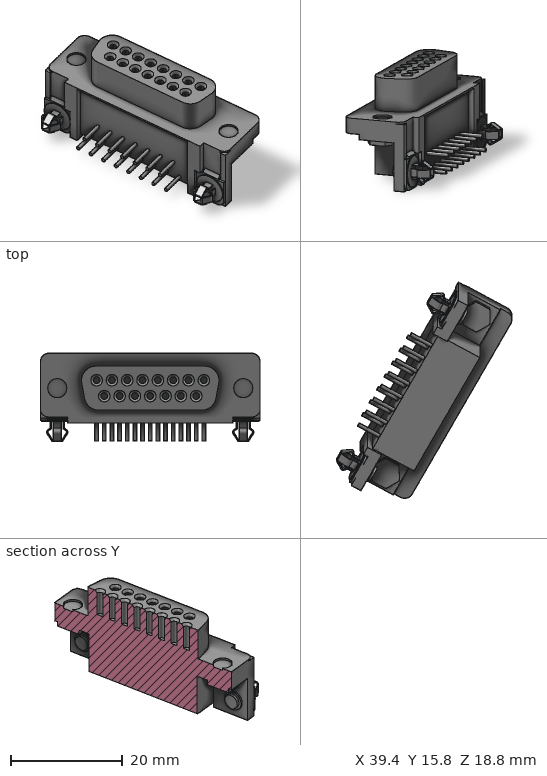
import cadquery as cq
import math


LENGTH = 39.37
DEPTH = 12.55
OVERALL_DEPTH = 15.81
HALF_LENGTH = LENGTH / 2
FRONT_Y = -DEPTH / 2
BACK_Y = DEPTH / 2
FLANGE_THICKNESS = 2.87
EAR_THICKNESS = 3.84
EAR_SETBACK = 3.0
EAR_BACK_Y = BACK_Y - EAR_SETBACK
BACK_CORNER_RADIUS = 1.57
LIP_THICKNESS = 0.35
FRONT_CORNER_RADIUS = 1.4

HEIGHT_BELOW = 12.7
BODY_BOTTOM_Z = -11.75
BODY_HALF_WIDTH = 12.07
BODY_SETBACK = 1.06
BODY_FRONT_Y = FRONT_Y + BODY_SETBACK
LEG_BACK_Y = -3.38
LEG_FRONT_Y = -5.36
RECESS_Y = -5.14
STRIP_WIDTH = 1.08
RIB_INSET = 4.87
RIB_OUTER_X = HALF_LENGTH - RIB_INSET

SHELL_HEIGHT = 6.06
SHELL_HALF_WIDTH = 12.3
SHELL_HALF_DEPTH = 3.93
SHELL_RADIUS = 2.55
SHELL_SIDE_ANGLE = math.radians(10)

PITCH = 2.743
ROW_Y = 1.42
LONG_ROW = 8
SHORT_ROW = 7
SOCKET_RADIUS = 0.6
SOCKET_MOUTH_RADIUS = 1.03
SOCKET_MOUTH_DEPTH = 0.5
SOCKET_DEPTH = 5.0
PIN_RADIUS = 0.345
LONG_ROW_PIN_Z = -10.88
SHORT_ROW_PIN_Z = -8.03
LONG_ROW_TIP_Y = -9.5
SHORT_ROW_TIP_Y = -9.42

MOUNT_X = 16.65
MOUNT_RADIUS = 1.71
MOUNT_DEPTH = 0.4
NUT_ACROSS_CORNERS = 5.62
NUT_THICKNESS = 0.93

CLIP_Z = -9.5
PLATE_FRONT_Y = -5.76
PLATE_TOP_Z = -6.76
PLATE_WIDTH = 5.94
PLATE_CORNER_RADIUS = 1.5
POCKET_WIDTH = 6.1
POCKET_INNER_X = HALF_LENGTH - POCKET_WIDTH
POCKET_TOP_Z = -6.51
TAB_INSET = 1.28
TAB_WIDTH = 3.38
TAB_OUTER_X = HALF_LENGTH - TAB_INSET
TAB_INNER_X = TAB_OUTER_X - TAB_WIDTH
RAMP_TOP_Z = -5.93
DISC_RADIUS = 2.86
DISC_FRONT_Y = -5.97
PRONG_WIDTH = 1.48
PRONG_THICKNESS = 0.26
PRONG_STEM = 1.30
PRONG_ELBOW = 2.09
PRONG_ELBOW_WALL = 0.34
PRONG_BEND_RADIUS = 0.5
PRONG_TIP = 0.96
STEM_END_Y = -7.16
ELBOW_Y = -7.76
TIP_Y = BACK_Y - OVERALL_DEPTH
RIVET_STEPS = ((1.85, -3.03), (1.38, -2.52))


def box(x0, x1, y0, y1, z0, z1):
    """Box between two opposite corners."""
    return cq.Workplane("XY").box(x1 - x0, y1 - y0, z1 - z0, centered=False).translate((x0, y0, z0))


def cylinder_along_y(x, z, radius, y0, y1):
    """Round bar parallel to Y."""
    return cq.Workplane("XZ", origin=(x, y1, z)).circle(radius).extrude(y1 - y0)


def row_positions(count):
    """X positions of an evenly spaced, centred row of contacts."""
    return [(i - (count - 1) / 2) * PITCH for i in range(count)]


def make_flange():
    top = box(-HALF_LENGTH, HALF_LENGTH, RECESS_Y, BACK_Y, -LIP_THICKNESS, 0)
    top = top.edges("|Z and <Y").fillet(FRONT_CORNER_RADIUS)
    top = top.edges("|Z and >Y").fillet(BACK_CORNER_RADIUS)
    lower = box(-HALF_LENGTH, HALF_LENGTH, RECESS_Y, BACK_Y, -FLANGE_THICKNESS, -LIP_THICKNESS)
    lower = lower.edges("|Z and >Y").fillet(BACK_CORNER_RADIUS)
    ears = box(-HALF_LENGTH, HALF_LENGTH, RECESS_Y, EAR_BACK_Y, -EAR_THICKNESS, -LIP_THICKNESS)
    front_lip = box(-RIB_OUTER_X, RIB_OUTER_X, FRONT_Y, RECESS_Y, -LIP_THICKNESS, 0)
    return top.union(lower).union(ears).union(front_lip)


def make_body():
    return box(-BODY_HALF_WIDTH, BODY_HALF_WIDTH, BODY_FRONT_Y, EAR_BACK_Y, BODY_BOTTOM_Z, 0)


def make_shell():
    """D-shaped shell: four equal round corners with the sides closing in towards the front."""
    centre_y = SHELL_HALF_DEPTH - SHELL_RADIUS
    back_x = SHELL_HALF_WIDTH - SHELL_RADIUS
    front_x = back_x - 2 * centre_y * math.tan(SHELL_SIDE_ANGLE)

    def on_corner(x, y, angle):
        return (x + SHELL_RADIUS * math.cos(angle), y + SHELL_RADIUS * math.sin(angle))

    side = -SHELL_SIDE_ANGLE
    back_mid = (math.pi / 2 + side) / 2
    front_mid = (side - math.pi / 2) / 2
    half = (
        cq.Workplane("XY")
        .moveTo(0, SHELL_HALF_DEPTH)
        .lineTo(back_x, SHELL_HALF_DEPTH)
        .threePointArc(on_corner(back_x, centre_y, back_mid), on_corner(back_x, centre_y, side))
        .lineTo(*on_corner(front_x, -centre_y, side))
        .threePointArc(on_corner(front_x, -centre_y, front_mid), (front_x, -SHELL_HALF_DEPTH))
        .lineTo(0, -SHELL_HALF_DEPTH)
    )
    return half.mirrorY().extrude(SHELL_HEIGHT)


def make_socket(x, y):
    """Cutter for one contact hole with a flared mouth."""
    profile = (
        cq.Workplane("XZ")
        .moveTo(0, 0)
        .lineTo(SOCKET_MOUTH_RADIUS, 0)
        .lineTo(SOCKET_RADIUS, -SOCKET_MOUTH_DEPTH)
        .lineTo(SOCKET_RADIUS, -SOCKET_DEPTH)
        .lineTo(0, -SOCKET_DEPTH)
        .close()
    )
    return profile.revolve(360, (0, 0, 0), (0, 1, 0)).translate((x, y, SHELL_HEIGHT))


def make_leg():
    """Leg at the +X end: thin outer strip, shallow recess and a full-depth rib."""
    outer = HALF_LENGTH
    bottom = -HEIGHT_BELOW
    leg = box(BODY_HALF_WIDTH, outer, RECESS_Y, LEG_BACK_Y, bottom, -LIP_THICKNESS)
    strip = box(outer - STRIP_WIDTH, outer, LEG_FRONT_Y, RECESS_Y, bottom, -LIP_THICKNESS)
    rib = box(BODY_HALF_WIDTH, RIB_OUTER_X, FRONT_Y, RECESS_Y, bottom, 0)
    backing = box(POCKET_INNER_X, outer, LEG_FRONT_Y, RECESS_Y, bottom, POCKET_TOP_Z)
    pocket = box(POCKET_INNER_X, outer, FRONT_Y, LEG_FRONT_Y, bottom, POCKET_TOP_Z)
    return leg.union(strip).union(rib).union(backing).cut(pocket)


def make_prong():
    """One bent spring prong, reaching out in +X from the clip axis."""
    wall = PRONG_THICKNESS
    start_y = PLATE_FRONT_Y
    profile = (
        cq.Workplane("XY")
        .moveTo(PRONG_STEM - wall, start_y)
        .lineTo(PRONG_STEM, start_y)
        .lineTo(PRONG_STEM, STEM_END_Y)
        .lineTo(PRONG_ELBOW, ELBOW_Y)
        .lineTo(PRONG_TIP, TIP_Y)
        .lineTo(PRONG_TIP - wall, TIP_Y)
        .lineTo(PRONG_ELBOW - PRONG_ELBOW_WALL, ELBOW_Y)
        .lineTo(PRONG_STEM - wall, STEM_END_Y - wall / 2)
        .close()
    )
    prong = profile.extrude(PRONG_WIDTH / 2, both=True)
    elbow_outside = cq.selectors.NearestToPointSelector((PRONG_ELBOW, ELBOW_Y, 0))
    elbow_inside = cq.selectors.NearestToPointSelector((PRONG_ELBOW - PRONG_ELBOW_WALL, ELBOW_Y, 0))
    prong = prong.edges("|Z").edges(elbow_outside).fillet(PRONG_BEND_RADIUS)
    return prong.edges("|Z").edges(elbow_inside).fillet(PRONG_BEND_RADIUS - wall)


def make_clip():
    """Board-lock clip at the +X end: plate, bent tab, disc, four prongs and rivet head."""
    plate_inner_x = MOUNT_X - PLATE_WIDTH / 2
    plate_outer_x = MOUNT_X + PLATE_WIDTH / 2
    plate = box(plate_inner_x, plate_outer_x, PLATE_FRONT_Y, LEG_FRONT_Y, -HEIGHT_BELOW, PLATE_TOP_Z)
    plate = plate.edges("|Y and <Z").fillet(PLATE_CORNER_RADIUS)
    tab = (
        cq.Workplane("YZ", origin=(TAB_INNER_X, 0, 0))
        .moveTo(RECESS_Y, RAMP_TOP_Z)
        .lineTo(PLATE_FRONT_Y, POCKET_TOP_Z)
        .lineTo(PLATE_FRONT_Y, PLATE_TOP_Z)
        .lineTo(RECESS_Y, PLATE_TOP_Z)
        .close()
        .extrude(TAB_WIDTH)
    )
    clip = plate.union(tab)
    clip = clip.union(cylinder_along_y(MOUNT_X, CLIP_Z, DISC_RADIUS, DISC_FRONT_Y, LEG_FRONT_Y))
    for angle in (0, 90, 180, 270):
        prong = make_prong().rotate((0, 0, 0), (0, 1, 0), angle)
        clip = clip.union(prong.translate((MOUNT_X, 0, CLIP_Z)))
    for radius, back_y in RIVET_STEPS:
        clip = clip.union(cylinder_along_y(MOUNT_X, CLIP_Z, radius, LEG_BACK_Y, back_y))
    return clip


def make_nut():
    """Hexagonal nut under an ear, with two corners on the Y axis."""
    nut = cq.Workplane("XY").polygon(6, NUT_ACROSS_CORNERS).extrude(-NUT_THICKNESS)
    return nut.rotate((0, 0, 0), (0, 0, 1), 90).translate((MOUNT_X, 0, -EAR_THICKNESS))


def make_mount_recess():
    return cq.Workplane("XY", origin=(MOUNT_X, 0, 0)).circle(MOUNT_RADIUS).extrude(-MOUNT_DEPTH)


result = make_flange().union(make_body()).union(make_shell())

end_parts = make_leg().union(make_clip()).union(make_nut())
mount_recess = make_mount_recess()
result = result.union(end_parts).union(end_parts.mirror("YZ"))
result = result.cut(mount_recess).cut(mount_recess.mirror("YZ"))

for count, row_y, pin_z, tip_y in (
    (LONG_ROW, ROW_Y, LONG_ROW_PIN_Z, LONG_ROW_TIP_Y),
    (SHORT_ROW, -ROW_Y, SHORT_ROW_PIN_Z, SHORT_ROW_TIP_Y),
):
    for x in row_positions(count):
        result = result.cut(make_socket(x, row_y))
        result = result.union(cylinder_along_y(x, pin_z, PIN_RADIUS, tip_y, BODY_FRONT_Y))